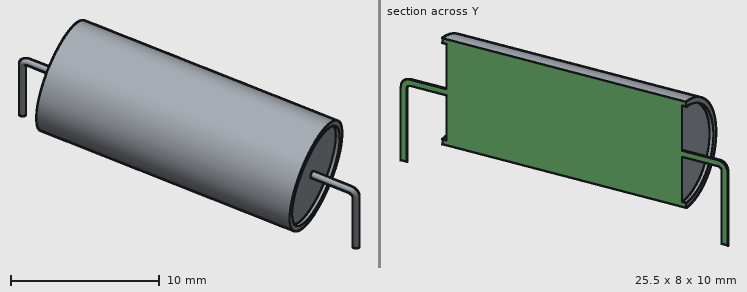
import cadquery as cq

body_length = 19.0
body_diameter = 8.0
recess_diameter = 7.2
recess_depth = 0.3

lead_diameter = 0.5
lead_spacing = 25.0
lead_bend_radius = 0.5
lead_drop_below_body = 2.0

axis_height = body_diameter / 2
floor_x = body_length / 2 - recess_depth


def make_body():
    """Cylinder with a shallow round recess in each end face."""
    body = cq.Workplane("YZ", origin=(-body_length / 2, 0, axis_height)).circle(body_diameter / 2)
    body = body.extrude(body_length)
    for start_x in (-body_length / 2, floor_x):
        recess = cq.Workplane("YZ", origin=(start_x, 0, axis_height)).circle(recess_diameter / 2)
        body = body.cut(recess.extrude(recess_depth))
    return body


def make_right_lead():
    """Wire from the +X recess floor, out along the axis, then down."""
    lead_x = lead_spacing / 2
    bend_start_x = lead_x - lead_bend_radius
    bend_end_z = axis_height - lead_bend_radius

    path = (
        cq.Workplane("XZ")
        .moveTo(floor_x, axis_height)
        .lineTo(bend_start_x, axis_height)
        .tangentArcPoint((lead_x, bend_end_z), relative=False)
        .lineTo(lead_x, -lead_drop_below_body)
    )
    profile = cq.Workplane("YZ", origin=(floor_x, 0, axis_height)).circle(lead_diameter / 2)
    return profile.sweep(path)


right_lead = make_right_lead()
left_lead = right_lead.mirror("YZ")
result = make_body().union(right_lead).union(left_lead)